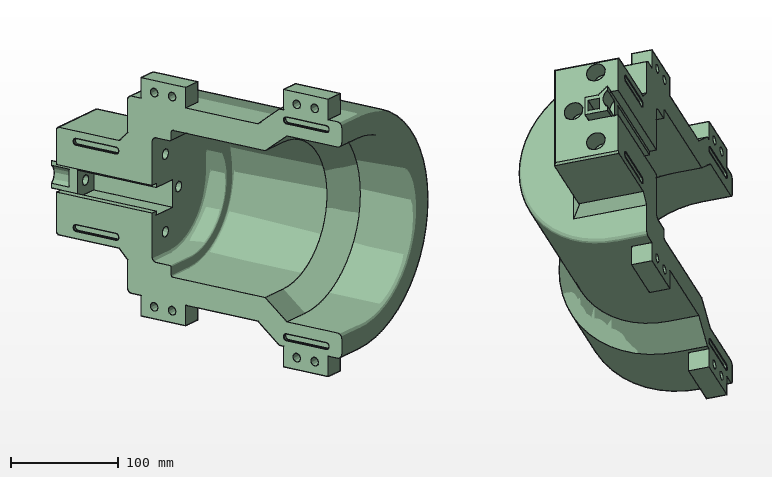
import cadquery as cq
import math


length = 330.0
block_front = 10.2
shell_front = 89.8
bore_floor = 117.5
step_x = 139.0

spring_height = 30.0
wall = 24.8
body_radius = 96.7
mouth_radius = 115.8
outer_cone = (236.0, 260.0)
bore_cone = (244.2, 268.5)
body_bore_radius = body_radius - wall
mouth_bore_radius = mouth_radius - wall
step_radius = 61.0
large_round = 5.0
small_round = 2.0

block_depth = 63.5
block_half_width = 52.8
block_shift = -2.3
block_chamfer = 2.0
collar_depth = 71.5
collar_slope = 9.2

bolt_circle_radius = 44.0
bolt_diameter = 10.0
counterbore_diameter = 18.0
counterbore_depth = 19.8
bolt_angles = (30, 90, 150)

lug_length = 50.0
lug_height = 20.0
lug_thickness = 20.0
lug_hole_diameter = 8.2
lug_hole_first = 15.0
lug_hole_spacing = 20.0
lug_hole_inset = 12.0
body_lug_start = 105.0
mouth_lug_start = 264.5

slot_length = 51.0
slot_width = 7.0
slot_depth = 3.0
slot_rim = 0.5
block_slot_start = 29.0
mouth_slot_start = 264.5
block_slot_offset = 42.2
mouth_slot_height = 106.3

bar_half_width = 13.5
bar_near = 7.0
bar_far = 29.0
bar_flat_top = 5.5
bar_flat_start = 16.0
bar_end = 29.0
pocket_size = 27.0
groove_radius = 11.2
groove_length = 19.5
socket_size = 11.2
socket_center = (20.5, -4.0)
socket_hole_diameter = 10.0


def box(x_range, y_range, z_range):
    size = [high - low for low, high in (x_range, y_range, z_range)]
    corner = (x_range[0], y_range[0], z_range[0])
    return cq.Workplane("XY").box(*size, centered=False).translate(corner)


def arched(draw_outline):
    """Turn a half outline (X, radius) into a half round on straight sides down to the split face."""
    spring_plane = cq.Workplane("XZ", origin=(0, spring_height, 0))
    arch = draw_outline(spring_plane).revolve(180, (0, 0, 0), (-1, 0, 0))
    side = draw_outline(spring_plane).extrude(spring_height)
    return arch.union(side).union(side.mirror("XY"))


def shell_outline(plane):
    return (
        plane.moveTo(shell_front, 0)
        .lineTo(shell_front, body_radius - large_round)
        .radiusArc((shell_front + large_round, body_radius), large_round)
        .lineTo(outer_cone[0], body_radius)
        .lineTo(outer_cone[1], mouth_radius)
        .lineTo(length - large_round, mouth_radius)
        .radiusArc((length, mouth_radius - large_round), large_round)
        .lineTo(length, 0)
        .close()
    )


def bore_outline(plane):
    return (
        plane.moveTo(bore_floor, 0)
        .lineTo(bore_floor, step_radius - large_round)
        .radiusArc((bore_floor + large_round, step_radius), large_round)
        .lineTo(step_x - small_round, step_radius)
        .radiusArc((step_x, step_radius + small_round), -small_round)
        .lineTo(step_x, body_bore_radius - small_round)
        .radiusArc((step_x + small_round, body_bore_radius), small_round)
        .lineTo(bore_cone[0], body_bore_radius)
        .lineTo(bore_cone[1], mouth_bore_radius)
        .lineTo(length - large_round, mouth_bore_radius)
        .radiusArc((length, mouth_bore_radius + large_round), -large_round)
        .lineTo(length, 0)
        .close()
    )


def chamfered_block(front, depth, half_width, chamfer):
    """Block reaching back to the bore floor, chamfered around its front but not at the split face."""
    full = box((front, bore_floor), (-depth, depth), (-half_width, half_width))
    full = full.faces("<X").chamfer(chamfer)
    return full.intersect(box((front, bore_floor), (0, depth), (-half_width, half_width)))


def front_block():
    block = chamfered_block(block_front, block_depth, block_half_width, block_chamfer)
    collar = chamfered_block(
        shell_front - collar_slope,
        collar_depth,
        block_half_width + collar_slope,
        collar_slope,
    )
    return block.union(collar).translate((0, 0, block_shift))


def lug_pair(start, radius):
    """Two drilled lugs, mirrored about Z = 0, standing out from the given radius."""
    outer = radius + lug_height
    lug = box((start, start + lug_length), (0, lug_thickness), (radius - wall / 2, outer))
    first_hole = start + lug_hole_first
    hole_height = outer - lug_hole_inset
    holes = (
        cq.Workplane("XZ")
        .pushPoints([(first_hole, hole_height), (first_hole + lug_hole_spacing, hole_height)])
        .circle(lug_hole_diameter / 2)
        .extrude(-lug_thickness)
    )
    lug = lug.cut(holes)
    return lug.union(lug.mirror("XY"))


def slot(start, height):
    """Round-ended slot cutter whose walls flare out in a fine chamfer at the split face."""
    face = cq.Workplane("XZ").center(start + slot_length / 2, height)
    rim = face.slot2D(slot_length, slot_width).extrude(-slot_rim, taper=45)
    walls = face.slot2D(slot_length - 2 * slot_rim, slot_width - 2 * slot_rim).extrude(-slot_depth)
    return rim.union(walls)


def rod(center, diameter, start, end):
    """Round rod along X, centred on the given (Y, Z)."""
    return cq.Workplane("YZ", origin=(start, 0, 0)).center(*center).circle(diameter / 2).extrude(end - start)


def bolt_hole(angle):
    turn = math.radians(angle)
    center = (bolt_circle_radius * math.sin(turn), bolt_circle_radius * math.cos(turn))
    shank = rod(center, bolt_diameter, block_front, bore_floor)
    head = rod(center, counterbore_diameter, block_front, block_front + counterbore_depth)
    return shank.union(head)


def latch_bar():
    profile = [
        (bar_near, bar_half_width),
        (bar_flat_start, bar_flat_top),
        (bar_far, bar_flat_top),
        (bar_far, -bar_half_width),
        (bar_near, -bar_half_width),
    ]
    return cq.Workplane("YZ").polyline(profile).close().extrude(bar_end)


def bar_openings():
    """Half round groove in the bar's near face, and a square socket with a hole behind it."""
    groove = rod((0, 0), 2 * groove_radius, 0, groove_length)
    socket = cq.Workplane("YZ").center(*socket_center).rect(socket_size, socket_size).extrude(groove_length)
    socket_hole = rod(socket_center, socket_hole_diameter, 0, bar_end)
    return groove.union(socket).union(socket_hole)


def bar_channel():
    """Shallow channel the full way to the bore, with a square undercut behind the bar."""
    shallow = box((0, bore_floor), (0, bar_near), (-bar_half_width, bar_half_width))
    seat = box((0, bar_end), (0, bar_far), (-bar_half_width, bar_flat_top))
    pocket = (
        cq.Workplane("YZ", origin=(bar_end, 0, 0))
        .center(*socket_center)
        .rect(pocket_size, pocket_size)
        .extrude(bore_floor - bar_end)
    )
    return shallow.union(seat).union(pocket)


housing = arched(shell_outline).union(front_block())
housing = housing.union(lug_pair(body_lug_start, body_radius))
housing = housing.union(lug_pair(mouth_lug_start, mouth_radius))
housing = housing.cut(arched(bore_outline))

for bolt_angle in bolt_angles:
    housing = housing.cut(bolt_hole(bolt_angle))

for direction in (1, -1):
    housing = housing.cut(slot(block_slot_start, block_shift + direction * block_slot_offset))
    housing = housing.cut(slot(mouth_slot_start, direction * mouth_slot_height))

result = housing.cut(bar_channel()).union(latch_bar()).cut(bar_openings())